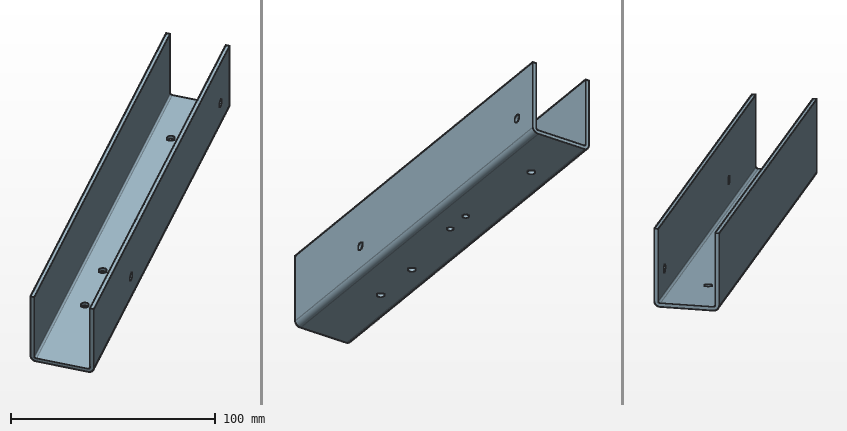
import cadquery as cq

length = 216.0
inner_width = 28.5
height = 40.0
thickness = 2.0
width = inner_width + 2 * thickness
inner_bend_radius = 1.0
outer_bend_radius = inner_bend_radius + thickness

large_hole_diameter = 3.9
large_hole_x = -3.5
large_hole_ys = [75.5, -32.8, -61.0]
small_hole_diameter = 3.2
small_hole_x = 1.3
small_hole_ys = [23.5, 9.5]

wall_hole_diameter = 4.0
wall_hole_z = 15.1
wall_hole_ys = [93.5, -48.5]


def block(block_width, bottom, bend_radius):
    """Full-length block reaching the channel top, with rounded lower long edges."""
    return (
        cq.Workplane("XY", origin=(0, 0, bottom))
        .rect(block_width, length)
        .extrude(height - bottom)
        .edges("|Y and <Z")
        .fillet(bend_radius)
    )


def floor_holes(x, ys, diameter):
    """Vertical cutters through the floor along one row."""
    return (
        cq.Workplane("XY")
        .pushPoints([(x, y) for y in ys])
        .circle(diameter / 2)
        .extrude(thickness)
    )


def wall_holes():
    """Cutters running along X through the +X wall."""
    return (
        cq.Workplane("YZ", origin=(width / 2 - thickness, 0, 0))
        .pushPoints([(y, wall_hole_z) for y in wall_hole_ys])
        .circle(wall_hole_diameter / 2)
        .extrude(thickness)
    )


outside = block(width, 0, outer_bend_radius)
inside = block(inner_width, thickness, inner_bend_radius)
channel = outside.cut(inside)

result = (
    channel
    .cut(floor_holes(large_hole_x, large_hole_ys, large_hole_diameter))
    .cut(floor_holes(small_hole_x, small_hole_ys, small_hole_diameter))
    .cut(wall_holes())
)